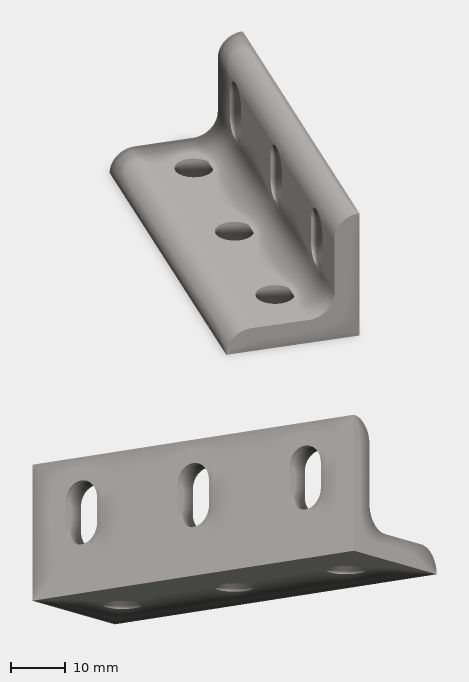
import cadquery as cq

length = 73.025
leg = 25.4
thickness = 4.7625
inner_radius = thickness
toe_radius = thickness

hole_pitch = 25.4
hole_count = 3
hole_diameter = 7.14375
hole_depth_position = leg / 2

slot_width = hole_diameter
slot_length = 11.90625
slot_angle = 90
slot_height = 15.08125

hole_positions = [(i - (hole_count - 1) / 2) * hole_pitch for i in range(hole_count)]


def make_angle():
    """L-shaped bar along X: base on Z = 0, upright leg with its back on Y = 0."""
    profile = (
        cq.Workplane("YZ", origin=(-length / 2, 0, 0))
        .lineTo(-leg, 0)
        .radiusArc((-leg + toe_radius, thickness), toe_radius)
        .lineTo(-thickness - inner_radius, thickness)
        .radiusArc((-thickness, thickness + inner_radius), -inner_radius)
        .lineTo(-thickness, leg - toe_radius)
        .radiusArc((0, leg), toe_radius)
        .close()
    )
    return profile.extrude(length)


def make_base_holes():
    """Round holes through the flat thickness of the base; the inner fillet is left uncut."""
    centres = [(x, -hole_depth_position) for x in hole_positions]
    holes = cq.Workplane("XY").pushPoints(centres).circle(hole_diameter / 2)
    return holes.extrude(thickness)


def make_upright_slots():
    """Vertical slots through the flat thickness of the upright; the inner fillet is left uncut."""
    centres = [(x, slot_height) for x in hole_positions]
    slots = cq.Workplane("XZ").pushPoints(centres).slot2D(slot_length, slot_width, slot_angle)
    return slots.extrude(thickness)


result = make_angle().cut(make_base_holes()).cut(make_upright_slots())